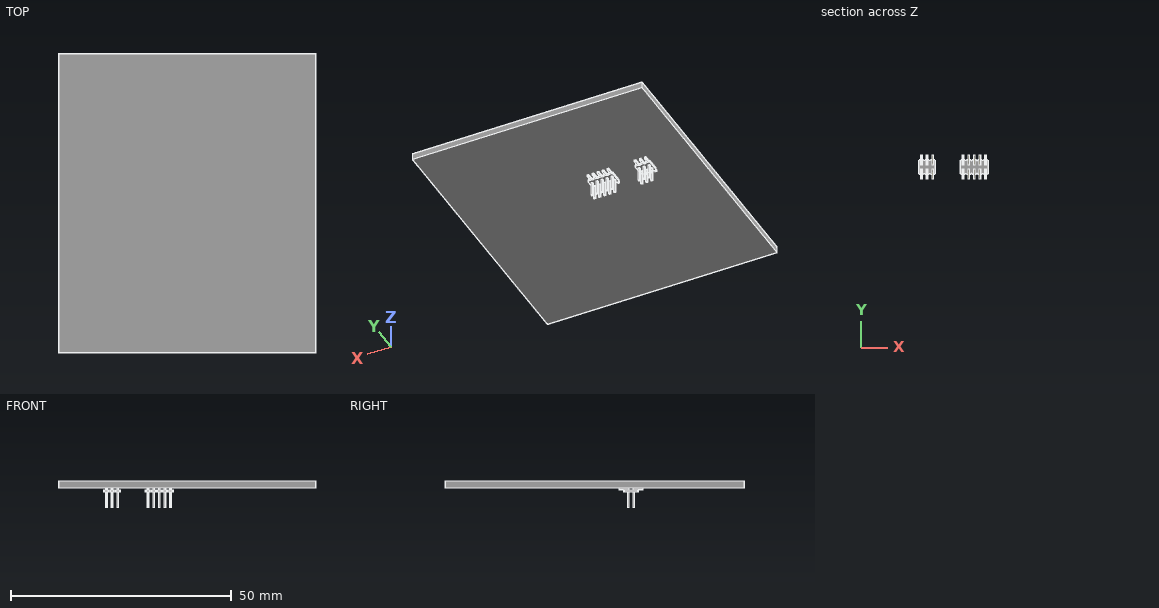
import cadquery as cq

board_width = 58.3
board_length = 67.8
board_thickness = 1.6
total_height = 6.05

pin_size = 0.4
strip_width = 3.4
strip_thickness = 0.5
strip_corner = 0.25
strip_gap = 0.4
foot_span = 5.5
pin_length = total_height - board_thickness

first_pin_offsets = [10.85, 20.3]
pins_per_row = [3, 5]
header_y = 8.2
longest_row_span = 5.1
pin_pitch = longest_row_span / (max(pins_per_row) - 1)


def make_board():
    """Plain rectangular plate."""
    return cq.Workplane("XY").box(
        board_width, board_length, board_thickness, centered=(True, True, False)
    )


def make_pin(x, side):
    """L-shaped square pin: a leg hanging down and a foot along the board, pointing to +Y or -Y."""
    leg_y = side * pin_pitch / 2
    inner_y = leg_y - side * pin_size / 2
    outer_y = leg_y + side * pin_size / 2
    tip_y = side * foot_span / 2
    profile = [
        (inner_y, 0),
        (tip_y, 0),
        (tip_y, -pin_size),
        (outer_y, -pin_size),
        (outer_y, -pin_length),
        (inner_y, -pin_length),
    ]
    return (
        cq.Workplane("YZ", origin=(x, 0, 0))
        .polyline(profile)
        .close()
        .extrude(pin_size / 2, both=True)
    )


def make_segment(x):
    """One-pitch length of the plastic strip, with chamfered vertical corners."""
    return (
        cq.Workplane("XY", origin=(x, 0, -strip_gap - strip_thickness))
        .box(pin_pitch, strip_width, strip_thickness, centered=(True, True, False))
        .edges("|Z")
        .chamfer(strip_corner)
    )


def make_header(first_pin_x, columns):
    """Plastic strip with two rows of pins, as one solid."""
    header = cq.Workplane("XY")
    for column in range(columns):
        x = first_pin_x + column * pin_pitch
        header = header.union(make_segment(x))
        for side in (-1, 1):
            header = header.union(make_pin(x, side))
    return header.translate((0, header_y, 0)).solids()


board = make_board()
headers = [
    make_header(offset - board_width / 2, columns)
    for offset, columns in zip(first_pin_offsets, pins_per_row)
]

result = cq.Compound.makeCompound([board.val(), *[header.val() for header in headers]])